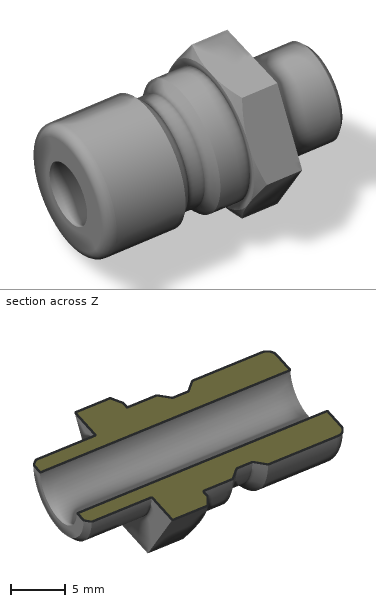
import cadquery as cq
import math

plug_diameter = 13.5
plug_round = 1.0
bore_diameter = 6.5

groove_diameter = 11.4
groove_start = 8.5
groove_floor_width = 1.7

hex_across_flats = 15.0
hex_start = 15.5
hex_thickness = 4.5
hex_chamfer_angle = 30.0

spigot_diameter = 10.0
spigot_length = 7.0
spigot_chamfer = 0.54

plug_radius = plug_diameter / 2
groove_radius = groove_diameter / 2
groove_depth = plug_radius - groove_radius
spigot_radius = spigot_diameter / 2
hex_end = hex_start + hex_thickness
total_length = hex_end + spigot_length
hex_half_angle = math.pi / 6
hex_across_corners = hex_across_flats / math.cos(hex_half_angle)


def revolve_about_y(profile):
    """Turn a closed XY profile a full circle about the Y axis."""
    return profile.close().revolve(360, (0, 0, 0), (0, 1, 0))


def cylinder_along_y(radius, start, end):
    return cq.Workplane("XZ", origin=(0, start, 0)).circle(radius).extrude(start - end)


def make_plug():
    """Plug body with a rounded front edge and a retaining groove."""
    floor_start = groove_start + groove_depth
    floor_end = floor_start + groove_floor_width
    groove_end = floor_end + groove_depth
    groove = revolve_about_y(
        cq.Workplane("XY")
        .moveTo(plug_radius, groove_start)
        .lineTo(groove_radius, floor_start)
        .lineTo(groove_radius, floor_end)
        .lineTo(plug_radius, groove_end)
    )
    plug = cylinder_along_y(plug_radius, 0, hex_start)
    return plug.faces("<Y").edges().fillet(plug_round).cut(groove)


def make_hexagon():
    """Hexagon whose front corners are trimmed by a cone touching the flats."""
    prism = (
        cq.Workplane("XZ", origin=(0, hex_start, 0))
        .polygon(6, hex_across_corners)
        .extrude(-hex_thickness)
    )
    flat_radius = hex_across_flats / 2
    corner_radius = hex_across_corners / 2
    corner_drop = (corner_radius - flat_radius) * math.tan(math.radians(hex_chamfer_angle))
    chamfer_envelope = revolve_about_y(
        cq.Workplane("XY")
        .moveTo(0, hex_start)
        .lineTo(flat_radius, hex_start)
        .lineTo(corner_radius, hex_start + corner_drop)
        .lineTo(corner_radius, hex_end)
        .lineTo(0, hex_end)
    )
    return prism.intersect(chamfer_envelope)


def make_spigot():
    spigot = cylinder_along_y(spigot_radius, hex_end, total_length)
    return spigot.faces(">Y").edges().chamfer(spigot_chamfer)


bore = cylinder_along_y(bore_diameter / 2, 0, total_length)
result = make_plug().union(make_hexagon()).union(make_spigot()).cut(bore)